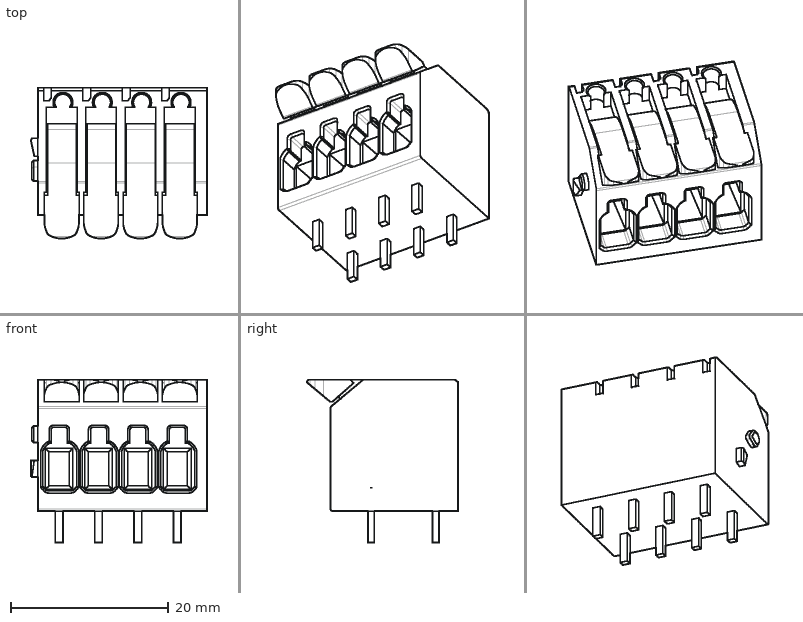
import cadquery as cq
import math


pole_count = 4
pitch = 5.0

housing_length = 21.5
housing_depth = 16.22
housing_height = 16.7
slope_run = 4.18
slope_drop = 3.48
slope_edge_radius = 0.3
top_back_chamfer_run = 0.42
top_back_chamfer_drop = 0.28
bottom_front_radius = 0.3

slot_centre = 3.02
slot_width = 3.9
slot_back = 13.72
slot_floor = 14.28
test_hole_radius = 1.05
test_hole_chamfer = 0.2
test_hole_x = 3.18
test_hole_y = 14.33

arm_centre = 3.06
arm_width = 3.64
arm_back = 11.6
arch_back = 10.92
arch_front = 6.67
head_centre = 3.02
head_width = 4.42
head_overhang = 2.98
head_back = 2.95
head_shoulder = 0.42
head_foot_y = 0.12
head_foot_z = 13.75
head_foot_radius = 0.35
tip_radius = 0.3
tip_thickness = 0.35

entry_centre = 2.77
entry_width = 4.3
entry_neck_centre = 2.71
entry_neck_width = 2.04
entry_bottom = 2.56
entry_top = 10.64
entry_shoulder_low = 7.6
entry_shoulder_high = 8.6
entry_shoulder_width = 2.7
entry_shoulder_bow = 0.08
entry_depth = 2.9
entry_flare = 0.27
entry_flare_depth = 0.38
entry_bottom_chamfer = 0.55
entry_bottom_radius = 0.45
entry_top_radius = 0.3
funnel_centre = 2.7
funnel_width = 3.5
funnel_bottom = 2.76
funnel_top = 7.98
funnel_taper = 0.45
funnel_depth = 5.0

notch_start = 0.71
notch_width = 1.0
notch_reach = 1.69
notch_depth = 2.0
notch_chamfer_x = 0.3
notch_chamfer_y = 0.4

pin_centre = 2.7
pin_width = 1.0
pin_thickness = 0.84
pin_length = 4.0
pin_rows = (5.17, 13.38)

drop_height = 0.8
drop_chamfer = 0.26
drop_centre = (5.38, 9.76)
drop_radius = 1.06
drop_tip = (6.7, 9.42)
drop_tip_radius = 0.28
wedge_height = 0.9
wedge_front_height = 0.47
wedge_back = 9.8
wedge_front = 7.47
wedge_edge_run = 0.33
wedge_edge_drop = 0.2
wedge_top = 6.43
wedge_back_bottom = 4.52
wedge_foot = (8.79, 4.33)


def box(x_range, y_range, z_range):
    """Axis-aligned block from the ranges it covers."""
    size = [high - low for low, high in (x_range, y_range, z_range)]
    return cq.Workplane("XY").box(*size, centered=False).translate((x_range[0], y_range[0], z_range[0]))


def span(centre, width):
    return (centre - width / 2, centre + width / 2)


def make_housing():
    body = (
        cq.Workplane("YZ")
        .moveTo(0, 0)
        .lineTo(housing_depth, 0)
        .lineTo(housing_depth, housing_height - top_back_chamfer_drop)
        .lineTo(housing_depth - top_back_chamfer_run, housing_height)
        .lineTo(slope_run, housing_height)
        .lineTo(0, housing_height - slope_drop)
        .close()
        .extrude(housing_length)
    )
    slope_ends = cq.selectors.BoxSelector(
        (-1, -1, housing_height - slope_drop - 1), (housing_length + 1, slope_run + 1, housing_height + 1)
    )
    body = body.edges("|X").edges(slope_ends).fillet(slope_edge_radius)
    return body.faces("<Y").edges("<Z").fillet(bottom_front_radius)


def make_lever_slot():
    slot = box(span(slot_centre, slot_width), (-head_overhang, slot_back), (slot_floor, housing_height))
    hole = (
        cq.Workplane("XY", origin=(test_hole_x, test_hole_y, slot_floor))
        .circle(test_hole_radius)
        .extrude(housing_height - slot_floor)
    )
    countersink = (
        cq.Workplane("XY", origin=(test_hole_x, test_hole_y, housing_height))
        .circle(test_hole_radius + test_hole_chamfer)
        .workplane(offset=-test_hole_chamfer)
        .circle(test_hole_radius)
        .loft()
    )
    return slot.union(hole).union(countersink)


def make_notch():
    right = notch_start + notch_width
    front = housing_depth - notch_reach
    return (
        cq.Workplane("XY", origin=(0, 0, housing_height - notch_depth))
        .moveTo(notch_start, housing_depth)
        .lineTo(notch_start, front)
        .lineTo(right - notch_chamfer_x, front)
        .lineTo(right, front + notch_chamfer_y)
        .lineTo(right, housing_depth)
        .close()
        .extrude(notch_depth)
    )


def make_entry():
    """Keyhole recess with a flared mouth, then a slightly tapered wire funnel."""
    left, right = span(entry_centre, entry_width)
    shoulder_left, shoulder_right = span(entry_centre, entry_shoulder_width)
    neck_left, neck_right = span(entry_neck_centre, entry_neck_width)
    bow_x = (entry_width + entry_shoulder_width) / 4 + entry_shoulder_bow
    bow_z = (entry_shoulder_low + entry_shoulder_high) / 2 + entry_shoulder_bow
    recess = (
        cq.Workplane("XZ")
        .moveTo(left, entry_bottom)
        .lineTo(right, entry_bottom)
        .lineTo(right, entry_shoulder_low)
        .threePointArc((entry_centre + bow_x, bow_z), (shoulder_right, entry_shoulder_high))
        .lineTo(neck_right, entry_shoulder_high)
        .lineTo(neck_right, entry_top)
        .lineTo(neck_left, entry_top)
        .lineTo(neck_left, entry_shoulder_high)
        .lineTo(shoulder_left, entry_shoulder_high)
        .threePointArc((entry_centre - bow_x, bow_z), (left, entry_shoulder_low))
        .close()
        .extrude(-entry_depth)
    )
    recess = recess.edges("|Y").edges("<Z").chamfer(entry_bottom_chamfer)
    recess = recess.edges("|Y").edges("<Z").fillet(entry_bottom_radius)
    recess = recess.edges("|Y").edges(">Z").fillet(entry_top_radius)
    mouth = recess.faces("<Y").wires().toPending().workplane().offset2D(entry_flare, "intersection")
    flare_angle = math.degrees(math.atan(entry_flare / entry_flare_depth))
    mouth = mouth.extrude(-entry_flare_depth, combine=False, taper=flare_angle)

    funnel_height = funnel_top - funnel_bottom
    funnel = (
        cq.Workplane("XZ", origin=(funnel_centre, entry_depth, (funnel_top + funnel_bottom) / 2))
        .rect(funnel_width, funnel_height)
        .workplane(offset=-funnel_depth)
        .rect(funnel_width - 2 * funnel_taper, funnel_height - 2 * funnel_taper)
        .loft()
    )
    return recess.union(mouth).union(funnel)


def make_arm():
    """Lever arm: flat top that rolls down at the back and ends in a tangent ramp."""
    rise = housing_height - slot_floor
    reach = arch_back - arch_front
    ramp = arm_back - arch_back
    low, high = 0.0, math.pi / 3
    for _ in range(40):
        angle = (low + high) / 2
        if reach * math.tan(angle / 2) + ramp * math.tan(angle) < rise:
            low = angle
        else:
            high = angle
    radius = reach / math.sin(angle)
    arch_middle = (
        arch_front + radius * math.sin(angle / 2),
        housing_height - radius * (1 - math.cos(angle / 2)),
    )
    return (
        cq.Workplane("YZ", origin=(arm_centre - arm_width / 2, 0, 0))
        .moveTo(head_foot_y + 1, slot_floor)
        .lineTo(arm_back, slot_floor)
        .lineTo(arch_back, slot_floor + ramp * math.tan(angle))
        .threePointArc(arch_middle, (arch_front, housing_height))
        .lineTo(head_foot_y + 1, housing_height)
        .close()
        .extrude(arm_width)
    )


def make_head():
    """Finger tab of the lever: wedge-shaped from the side, rounded at the tip from above."""
    left = head_centre - head_width / 2
    profile = (
        cq.Workplane("YZ", origin=(left, 0, 0))
        .moveTo(-head_overhang, housing_height)
        .lineTo(-head_overhang, housing_height - tip_thickness)
        .lineTo(head_foot_y, head_foot_z)
        .lineTo(head_back, housing_height - head_shoulder)
        .lineTo(head_back - head_shoulder, housing_height)
        .close()
        .extrude(head_width)
    )
    profile = profile.edges("|X").edges("<Z").fillet(head_foot_radius)
    profile = profile.edges("|X").edges("<Y and >Z").fillet(tip_radius)
    half = head_width / 2
    plan = (
        cq.Workplane("XY", origin=(head_centre, 0, 0))
        .moveTo(-half, head_back)
        .lineTo(-half, -0.9)
        .threePointArc((-half + 0.06, -1.45), (-half + 0.24, -2.0))
        .threePointArc((-half + 0.45, -2.4), (-half + 0.8, -2.65))
        .threePointArc((0, -head_overhang), (half - 0.8, -2.65))
        .threePointArc((half - 0.45, -2.4), (half - 0.24, -2.0))
        .threePointArc((half - 0.06, -1.45), (half, -0.9))
        .lineTo(half, head_back)
        .close()
        .extrude(housing_height)
    )
    return profile.intersect(plan)


def make_drop_boss():
    """Teardrop boss: a large and a small circle joined by their outer tangents."""
    run = drop_tip[0] - drop_centre[0]
    climb = drop_tip[1] - drop_centre[1]
    axis = math.atan2(climb, run)
    spread = math.acos((drop_radius - drop_tip_radius) / math.hypot(run, climb))

    def rim(centre, radius, angle):
        return (centre[0] + radius * math.cos(angle), centre[1] + radius * math.sin(angle))

    return (
        cq.Workplane("YZ")
        .moveTo(*rim(drop_centre, drop_radius, axis + spread))
        .threePointArc(
            rim(drop_centre, drop_radius, axis + math.pi),
            rim(drop_centre, drop_radius, axis - spread),
        )
        .lineTo(*rim(drop_tip, drop_tip_radius, axis - spread))
        .threePointArc(
            rim(drop_tip, drop_tip_radius, axis),
            rim(drop_tip, drop_tip_radius, axis + spread),
        )
        .close()
        .extrude(-drop_height)
        .faces("<X")
        .chamfer(drop_chamfer)
    )


def make_wedge_boss():
    """Hook-shaped boss whose outer face falls away toward the front."""
    outline = (
        cq.Workplane("YZ")
        .moveTo(wedge_back, wedge_top)
        .lineTo(wedge_front, wedge_top)
        .lineTo(*wedge_foot)
        .lineTo(wedge_back, wedge_back_bottom)
        .close()
        .extrude(-wedge_height)
    )
    plan = (
        cq.Workplane("XY")
        .moveTo(0, wedge_back)
        .lineTo(wedge_edge_drop - wedge_height, wedge_back)
        .threePointArc(
            (-wedge_height + wedge_edge_drop / 4, wedge_back - wedge_edge_run / 2),
            (-wedge_height, wedge_back - wedge_edge_run),
        )
        .lineTo(-wedge_front_height, wedge_front)
        .lineTo(0, wedge_front)
        .close()
        .extrude(housing_height)
    )
    return outline.intersect(plan)


pole_cutter = make_lever_slot().union(make_notch()).union(make_entry())
lever = make_arm().union(make_head())

result = make_housing()
for pole in range(pole_count):
    shift = (pole * pitch, 0, 0)
    result = result.cut(pole_cutter.translate(shift)).union(lever.translate(shift))
    for row in pin_rows:
        pin = box(span(pin_centre, pin_width), span(row, pin_thickness), (-pin_length, 0))
        result = result.union(pin.translate(shift))
result = result.union(make_drop_boss()).union(make_wedge_boss())